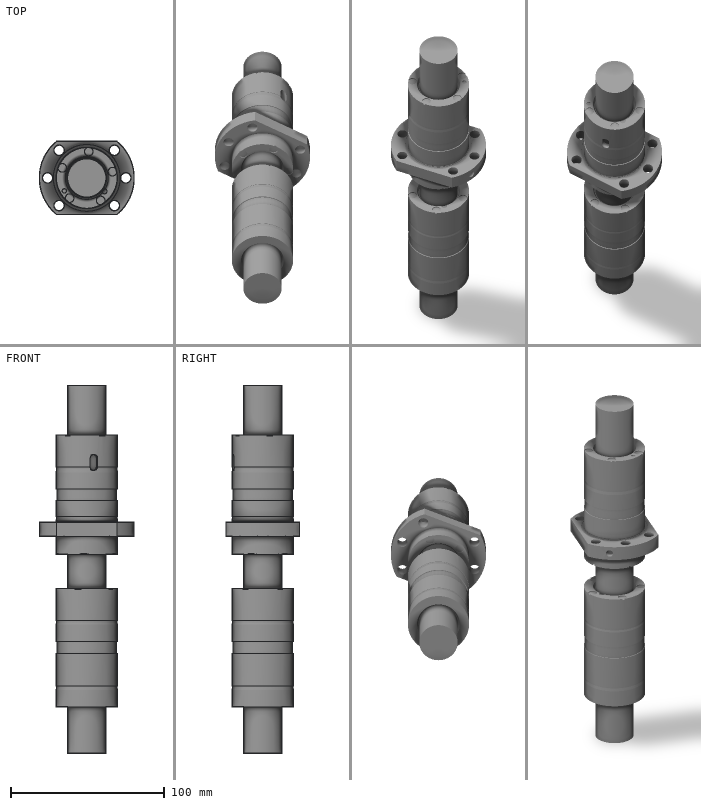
import cadquery as cq
import math

SHAFT_DIAMETER = 25.0
SHAFT_LENGTH = 240.0

NUT_DIAMETER = 40.0
NUT_RADIUS = NUT_DIAMETER / 2
WAIST_DIAMETER = 39.0
GROOVE_DEPTH = 0.2
BORE_MOUTH_DIAMETER = 28.0
MOUTH_FLOOR_DIAMETER = 26.0
MOUTH_DEPTH = 2.0

SCREW_COUNT = 5
SCREW_DIAMETER = 5.6
POCKET_DEPTH = 0.7
SCREW_CIRCLE_RADIUS = 17.25
PIN_DIAMETER = 2.8
PIN_CIRCLE_RADIUS = 16.9
PORT_DIAMETER = 3.4
PORT_CIRCLE_RADIUS = 14.4

LOWER_NUT_BOTTOM = 30.3
LOWER_HALF_LENGTH = 34.7
LOWER_WAIST_LENGTH = 8.0
LOWER_NUT_LENGTH = 2 * LOWER_HALF_LENGTH + LOWER_WAIST_LENGTH
LOWER_NUT_TOP = LOWER_NUT_BOTTOM + LOWER_NUT_LENGTH
BAND_LENGTH = 10.8
LOWER_SCREW_ANGLE = 36.5
LOWER_PORT_ANGLE = 128.0

UPPER_NUT_BOTTOM = 129.8
UPPER_NUT_LENGTH = 78.0
UPPER_NUT_TOP = UPPER_NUT_BOTTOM + UPPER_NUT_LENGTH
UPPER_WAIST_BOTTOM = 165.1
UPPER_WAIST_TOP = 172.4
UPPER_JOINT_BOTTOM = UPPER_WAIST_TOP + BAND_LENGTH
UPPER_SCREW_ANGLE = 13.7
UPPER_BOTTOM_SCREW_ANGLE = 49.0
UPPER_PIN_ANGLE = 210.0
UPPER_PORT_ANGLE = -37.0

LONG_CONE = 2.1
SHORT_CONE = 1.4
WIDE_GROOVE = 1.4
NARROW_GROOVE = 0.7

FLANGE_DIAMETER = 62.0
FLANGE_WIDTH = 48.0
FLANGE_THICKNESS = 9.2
FLANGE_BOTTOM = 141.6
FLANGE_TOP = FLANGE_BOTTOM + FLANGE_THICKNESS
FLANGE_HOLE_DIAMETER = 6.6
FLANGE_HOLE_CIRCLE = 51.0
FLANGE_HOLE_ANGLES = (0, 45, 135, 180, 225, 315)
RELIEF_DIAMETER = 43.6
RELIEF_DEPTH = 0.3
UNDERCUT_WIDTH = 0.8
UNDERCUT_DEPTH = 0.6
NECK_CONE_LENGTH = 2.8
OIL_HOLE_DIAMETER = 4.6
OIL_HOLE_ANGLE = 157.5
OIL_HOLE_DEPTH = 10.0

KEY_WIDTH = 5.0
KEY_BOTTOM = 184.6
KEY_TOP = 195.0
KEY_ANGLE = -76.4
KEY_DEPTH = 3.5


def cylinder(diameter, bottom, length):
    return cq.Workplane("XY").workplane(offset=bottom).circle(diameter / 2).extrude(length)


def ring(outer_diameter, inner_diameter, bottom, length):
    return cylinder(outer_diameter, bottom, length).cut(cylinder(inner_diameter, bottom, length))


def revolve_profile(points):
    """Turn an outline of (radius, height) points about the Z axis."""
    return cq.Workplane("XZ").polyline(points).close().revolve(360, (0, 0, 0), (0, 1, 0))


def joint_groove(bottom, cone_length, groove_width):
    """Ring of material removed at a joint: a cone running into a narrow groove."""
    cone_top = bottom + cone_length
    top = cone_top + groove_width
    floor = NUT_RADIUS - GROOVE_DEPTH
    return revolve_profile([(NUT_RADIUS, bottom), (floor, cone_top), (floor, top), (NUT_RADIUS, top)])


def neck_relief():
    """Ring removed above the flange: an undercut, then a cone narrowing up to a step."""
    undercut_radius = NUT_RADIUS - UNDERCUT_DEPTH
    undercut_top = FLANGE_TOP + UNDERCUT_WIDTH
    cone_top = undercut_top + NECK_CONE_LENGTH
    undercut = ring(NUT_DIAMETER, 2 * undercut_radius, FLANGE_TOP, UNDERCUT_WIDTH)
    cone = revolve_profile(
        [(NUT_RADIUS, undercut_top), (NUT_RADIUS - GROOVE_DEPTH, cone_top), (NUT_RADIUS, cone_top)]
    )
    return undercut, cone


def bore_mouth(face, inward):
    """Coned recess at an end face; inward is +1 or -1 along Z, pointing into the nut."""
    floor = face + inward * MOUTH_DEPTH
    return revolve_profile(
        [(0, face), (BORE_MOUTH_DIAMETER / 2, face), (MOUTH_FLOOR_DIAMETER / 2, floor), (0, floor)]
    )


def pocket(diameter, circle_radius, angle, bottom, depth):
    x = circle_radius * math.cos(math.radians(angle))
    y = circle_radius * math.sin(math.radians(angle))
    return cylinder(diameter, bottom, depth).translate((x, y, 0))


def cut_screw_pockets(nut, first_angle, bottom):
    for index in range(SCREW_COUNT):
        angle = first_angle + index * 360 / SCREW_COUNT
        nut = nut.cut(pocket(SCREW_DIAMETER, SCREW_CIRCLE_RADIUS, angle, bottom, POCKET_DEPTH))
    return nut


def make_nut_blank(bottom, length, waist_bottom, waist_top):
    nut = ring(NUT_DIAMETER, SHAFT_DIAMETER, bottom, length)
    nut = nut.cut(ring(NUT_DIAMETER, WAIST_DIAMETER, waist_bottom, waist_top - waist_bottom))
    nut = nut.cut(bore_mouth(bottom, 1))
    return nut.cut(bore_mouth(bottom + length, -1))


def make_lower_nut():
    waist_bottom = LOWER_NUT_BOTTOM + LOWER_HALF_LENGTH
    waist_top = waist_bottom + LOWER_WAIST_LENGTH
    nut = make_nut_blank(LOWER_NUT_BOTTOM, LOWER_NUT_LENGTH, waist_bottom, waist_top)
    nut = nut.cut(joint_groove(LOWER_NUT_BOTTOM + BAND_LENGTH, LONG_CONE, NARROW_GROOVE))
    nut = nut.cut(joint_groove(waist_top + BAND_LENGTH, SHORT_CONE, WIDE_GROOVE))
    nut = cut_screw_pockets(nut, LOWER_SCREW_ANGLE, LOWER_NUT_TOP - POCKET_DEPTH)
    pocket_floor = LOWER_NUT_TOP - POCKET_DEPTH
    return nut.cut(pocket(PORT_DIAMETER, PORT_CIRCLE_RADIUS, LOWER_PORT_ANGLE, pocket_floor, POCKET_DEPTH))


def make_flange():
    flange = ring(FLANGE_DIAMETER, NUT_DIAMETER, FLANGE_BOTTOM, FLANGE_THICKNESS)
    flats = cq.Workplane("XY").workplane(offset=FLANGE_BOTTOM).rect(FLANGE_DIAMETER, FLANGE_WIDTH)
    flange = flange.intersect(flats.extrude(FLANGE_THICKNESS))
    for angle in FLANGE_HOLE_ANGLES:
        flange = flange.cut(
            pocket(FLANGE_HOLE_DIAMETER, FLANGE_HOLE_CIRCLE / 2, angle, FLANGE_BOTTOM, FLANGE_THICKNESS)
        )
    flange = flange.cut(ring(RELIEF_DIAMETER, NUT_DIAMETER, FLANGE_TOP - RELIEF_DEPTH, RELIEF_DEPTH))
    oil_hole = (
        cq.Workplane("YZ").workplane(offset=FLANGE_DIAMETER / 2 - OIL_HOLE_DEPTH)
        .center(0, FLANGE_BOTTOM + FLANGE_THICKNESS / 2)
        .circle(OIL_HOLE_DIAMETER / 2).extrude(OIL_HOLE_DEPTH)
        .rotate((0, 0, 0), (0, 0, 1), OIL_HOLE_ANGLE)
    )
    return flange.cut(oil_hole)


def key_slot():
    slot_length = KEY_TOP - KEY_BOTTOM
    slot = (
        cq.Workplane("YZ").workplane(offset=NUT_RADIUS - KEY_DEPTH)
        .center(0, (KEY_TOP + KEY_BOTTOM) / 2)
        .slot2D(slot_length, KEY_WIDTH, 90).extrude(KEY_DEPTH)
    )
    return slot.rotate((0, 0, 0), (0, 0, 1), KEY_ANGLE)


def make_upper_nut():
    nut = make_nut_blank(UPPER_NUT_BOTTOM, UPPER_NUT_LENGTH, UPPER_WAIST_BOTTOM, UPPER_WAIST_TOP)
    for relief in neck_relief():
        nut = nut.cut(relief)
    nut = nut.cut(joint_groove(UPPER_JOINT_BOTTOM, LONG_CONE, WIDE_GROOVE))
    nut = nut.cut(key_slot())
    pocket_floor = UPPER_NUT_TOP - POCKET_DEPTH
    nut = cut_screw_pockets(nut, UPPER_SCREW_ANGLE, pocket_floor)
    nut = cut_screw_pockets(nut, UPPER_BOTTOM_SCREW_ANGLE, UPPER_NUT_BOTTOM)
    nut = nut.cut(pocket(PIN_DIAMETER, PIN_CIRCLE_RADIUS, UPPER_PIN_ANGLE, pocket_floor, POCKET_DEPTH))
    nut = nut.cut(pocket(PORT_DIAMETER, PORT_CIRCLE_RADIUS, UPPER_PORT_ANGLE, pocket_floor, POCKET_DEPTH))
    return nut.union(make_flange())


shaft = cylinder(SHAFT_DIAMETER, 0, SHAFT_LENGTH)
lower_nut = make_lower_nut()
upper_nut = make_upper_nut()

result = cq.Compound.makeCompound([shaft.val(), lower_nut.val(), upper_nut.val()])